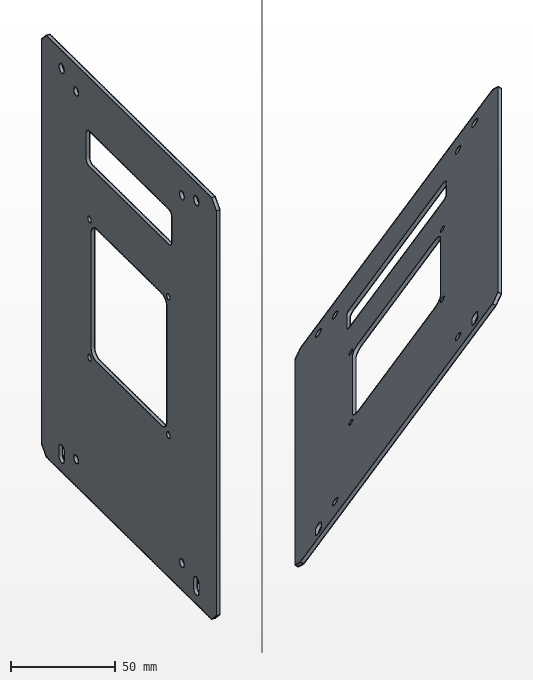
import cadquery as cq

WIDTH = 174.7
HEIGHT = 240.0
THICKNESS = 2.0
CORNER_CHAMFER = 4.8

DISPLAY_WIDTH = 85.5
DISPLAY_HEIGHT = 20.0
DISPLAY_Z = 79.5
DISPLAY_CORNER_RADIUS = 3.0
FAN_OPENING = 75.4
FAN_CORNER_RADIUS = 5.0

FAN_HOLE_DIAMETER = 3.4
FAN_HOLE_SPACING = 78.7
FIXING_HOLE_DIAMETER = 4.5
FIXING_SPACING_X = 105.5
FIXING_SPACING_Z = 209.3

MOUNT_DIAMETER = 5.0
MOUNT_SPACING_X = 134.5
MOUNT_HOLE_Z = 109.7
SLOT_LENGTH = 10.0
SLOT_Z = -MOUNT_HOLE_Z
UPRIGHT_ANGLE = 90


def front_plane():
    """Workplane through the plate's mid-plane, with local Y along global Z."""
    return cq.Workplane("XZ")


def plate(width, height, thickness):
    return front_plane().rect(width, height).extrude(thickness / 2, both=True)


def window(width, height, center_z, corner_radius):
    """Cutter for a rectangular opening with rounded corners."""
    cutter = plate(width, height, 2 * THICKNESS).edges("|Y").fillet(corner_radius)
    return cutter.translate((0, 0, center_z))


def round_holes(points, diameter):
    return front_plane().pushPoints(points).circle(diameter / 2).extrude(THICKNESS, both=True)


def hole_grid(spacing_x, spacing_z, diameter):
    """Cutters for four holes at the corners of a centered rectangle."""
    points = [(x * spacing_x / 2, z * spacing_z / 2) for x in (-1, 1) for z in (-1, 1)]
    return round_holes(points, diameter)


def mirrored_pair(spacing_x, z):
    return [(-spacing_x / 2, z), (spacing_x / 2, z)]


def mounting_slots():
    points = mirrored_pair(MOUNT_SPACING_X, SLOT_Z)
    slots = front_plane().pushPoints(points).slot2D(SLOT_LENGTH, MOUNT_DIAMETER, UPRIGHT_ANGLE)
    return slots.extrude(THICKNESS, both=True)


result = (
    plate(WIDTH, HEIGHT, THICKNESS)
    .edges("|Y")
    .chamfer(CORNER_CHAMFER)
    .cut(window(DISPLAY_WIDTH, DISPLAY_HEIGHT, DISPLAY_Z, DISPLAY_CORNER_RADIUS))
    .cut(window(FAN_OPENING, FAN_OPENING, 0, FAN_CORNER_RADIUS))
    .cut(hole_grid(FAN_HOLE_SPACING, FAN_HOLE_SPACING, FAN_HOLE_DIAMETER))
    .cut(hole_grid(FIXING_SPACING_X, FIXING_SPACING_Z, FIXING_HOLE_DIAMETER))
    .cut(round_holes(mirrored_pair(MOUNT_SPACING_X, MOUNT_HOLE_Z), MOUNT_DIAMETER))
    .cut(mounting_slots())
)